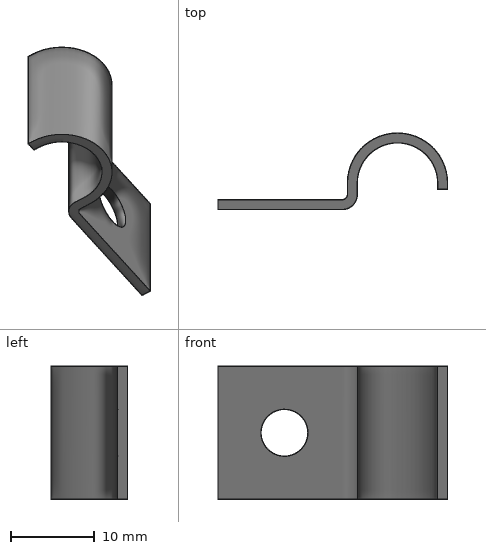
import cadquery as cq

length = 27.39
depth = 9.14
width = 15.88
thickness = 1.2

loop_outer_radius = 5.98
loop_inner_radius = loop_outer_radius - thickness
bend_inner_radius = 0.6
bend_outer_radius = bend_inner_radius + thickness
lip_length = 0.75

hole_diameter = 5.56
hole_x = width / 2
hole_z = width / 2

loop_x = length - loop_outer_radius
loop_y = depth - loop_outer_radius
riser_outside_x = loop_x - loop_outer_radius
riser_inside_x = loop_x - loop_inner_radius
bend_x = riser_inside_x - bend_outer_radius
lip_y = loop_y - lip_length


def make_strip():
    """Bent strip: flat tab, quarter bend, short riser, half-round loop and lip."""
    profile = (
        cq.Workplane("XY")
        .moveTo(0, 0)
        .lineTo(bend_x, 0)
        .radiusArc((riser_inside_x, bend_outer_radius), -bend_outer_radius)
        .lineTo(riser_inside_x, loop_y)
        .threePointArc((loop_x, loop_y + loop_inner_radius), (loop_x + loop_inner_radius, loop_y))
        .lineTo(loop_x + loop_inner_radius, lip_y)
        .lineTo(length, lip_y)
        .lineTo(length, loop_y)
        .threePointArc((loop_x, depth), (riser_outside_x, loop_y))
        .lineTo(riser_outside_x, bend_outer_radius)
        .radiusArc((bend_x, thickness), bend_inner_radius)
        .lineTo(0, thickness)
        .close()
    )
    return profile.extrude(width)


def make_screw_hole():
    """Cylinder through the tab along Y."""
    hole_plane = cq.Plane(origin=(hole_x, 0, hole_z), xDir=(1, 0, 0), normal=(0, 1, 0))
    return cq.Workplane(hole_plane).circle(hole_diameter / 2).extrude(thickness)


result = make_strip().cut(make_screw_hole())